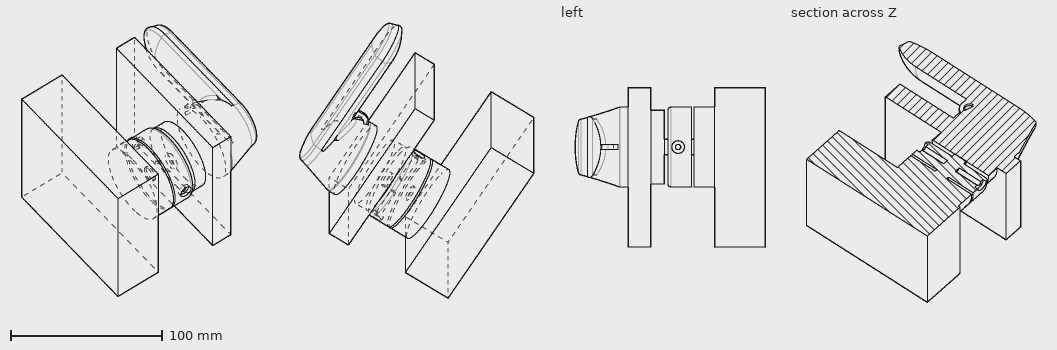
import cadquery as cq
import math


plate_width = 105.0
plate_height = 105.5
plate_top = 39.4
door_right = 32.1
base_right = 28.1

base_face = 33.7
collar_end = 47.4
coupler_start = 48.8
coupler_end = 64.6
nut_start = 66.9
door_start = 75.8
door_end = 91.0
skirt_end = 96.4
handle_top = 126.0

body_radius = 26.5
nut_radius = 24.5
spindle_radius = 5.2
coupler_round = 2.3
skirt_round = 1.9

screw_y = 57.8
screw_hole_radius = 1.8
screw_recess_radius = 4.2
screw_recess_depth = 2.5

grip_length = 74.7
grip_bottom = 109.0
belly_edge = (18.9, 114.5)
edge_bulge = (20.2, 116.2)
flank_bottom = (19.7, 117.7)
flank_top = (18.5, 121.9)
shoulder_mid = (18.2, 123.1)
crown_edge = (17.3, 123.8)
crown_mid = (8.9, 125.5)
blend_radius = 2.5
blend_half_width = 22.9
blend_clip = (31.8, 12.7, 36.8)

lug_x = -23.5
lug_y = 104.3
lug_radius = 7.1
lug_hole_radius = 4.0
lug_thickness = 3.3

edge_margin = 0.1
edge_search = body_radius + edge_margin


def disc(radius, start, end):
    """Cylinder on the spindle axis between two Y stations."""
    return cq.Workplane("XZ", origin=(0, start, 0)).circle(radius).extrude(start - end)


def plate(right, start, end):
    """Rectangular plate between two Y stations."""
    return cq.Workplane("XY").box(
        plate_width, end - start, plate_height, centered=False
    ).translate((right - plate_width, start, plate_top - plate_height))


def belly_height(offset):
    """Height of the circular belly of the grip at a distance from its centre line."""
    rise = belly_edge[1] - grip_bottom
    radius = (belly_edge[0] ** 2 + rise**2) / (2 * rise)
    return grip_bottom + radius - math.sqrt(radius**2 - offset**2)


def crown(outline):
    """Continue an outline from the bottom of the flank over the crown to the axis."""
    return (
        outline.lineTo(*flank_top)
        .threePointArc(shoulder_mid, crown_edge)
        .threePointArc(crown_mid, (0, handle_top))
    )


def grip_half_section(plane):
    """Closed half section of the grip, from its centre line to its flank."""
    outline = (
        cq.Workplane(plane)
        .moveTo(0, grip_bottom)
        .threePointArc((belly_edge[0] / 2, belly_height(belly_edge[0] / 2)), belly_edge)
        .threePointArc(edge_bulge, flank_bottom)
    )
    return crown(outline).close()


def turned(section):
    return section.revolve(360, (0, 0), (0, 1))


def make_grip():
    half_bar = grip_half_section("ZY").extrude(grip_length)
    rounded_end = turned(grip_half_section("XY")).translate((-grip_length, 0, 0))
    return half_bar.union(half_bar.mirror("XY")).union(rounded_end)


def make_hub():
    """Tapered hub with a short cylindrical skirt on the door."""
    outline = (
        cq.Workplane("XY")
        .moveTo(0, door_end)
        .lineTo(body_radius, door_end)
        .lineTo(body_radius, skirt_end)
        .lineTo(*flank_bottom)
    )
    hub = turned(crown(outline).close())
    skirt_edge = cq.selectors.BoxSelector(
        (-edge_search, skirt_end - edge_margin, -edge_search),
        (edge_search, skirt_end + edge_margin, edge_search),
        boundingbox=True,
    )
    return hub.edges(skirt_edge).fillet(skirt_round)


def make_blend(hub):
    """Rounded inside corner where the belly of the grip runs into the hub."""
    belly = (
        cq.Workplane("ZY")
        .moveTo(-blend_half_width, belly_height(blend_half_width))
        .threePointArc((0, grip_bottom), (blend_half_width, belly_height(blend_half_width)))
        .lineTo(blend_half_width, crown_edge[1])
        .lineTo(-blend_half_width, crown_edge[1])
        .close()
        .extrude(grip_length)
    )
    corner = cq.selectors.BoxSelector(
        (-body_radius, grip_bottom - edge_margin, -body_radius),
        (-edge_margin, flank_bottom[1], body_radius),
        boundingbox=False,
    )
    rounded = hub.union(belly).edges(corner).fillet(blend_radius)
    clip = cq.Workplane("XY", origin=(lug_x, grip_bottom, 0)).box(*blend_clip)
    return rounded.intersect(clip)


def make_lug():
    """Flat lug with a padlock hole, rounded at its lower end."""
    middle = cq.Workplane("XY", origin=(lug_x, lug_y, 0))
    rise = flank_bottom[1] - lug_y
    round_end = middle.circle(lug_radius).extrude(lug_thickness / 2, both=True)
    neck = middle.center(0, rise / 2).rect(2 * lug_radius, rise).extrude(lug_thickness / 2, both=True)
    hole = middle.circle(lug_hole_radius).extrude(lug_thickness, both=True)
    return round_end.union(neck).cut(hole)


def make_door_unit():
    """Door plate with its handle in front and its nut behind."""
    hub = make_hub()
    handle = make_grip().union(hub).union(make_blend(hub))
    return (
        handle.union(make_lug())
        .union(plate(door_right, door_start, door_end))
        .union(disc(nut_radius, nut_start, door_start))
    )


def make_coupler():
    """Ring with a rounded front edge and opposed recessed set screw holes."""
    coupler = disc(body_radius, coupler_start, coupler_end).faces(">Y").edges().fillet(coupler_round)
    across = cq.Workplane("YZ", origin=(-body_radius, screw_y, 0))
    coupler = coupler.cut(across.circle(screw_hole_radius).extrude(2 * body_radius))
    recess = across.circle(screw_recess_radius).extrude(screw_recess_depth)
    return coupler.cut(recess).cut(recess.mirror("YZ"))


def make_base_unit():
    """Base block with its collar, spindle and coupler; the spindle meets the nut."""
    return (
        plate(base_right, 0, base_face)
        .union(disc(body_radius, base_face, collar_end))
        .union(make_coupler())
        .union(disc(spindle_radius, collar_end, nut_start))
    )


door_unit = make_door_unit()
base_unit = make_base_unit()

result = cq.Compound.makeCompound([door_unit.solids().val(), base_unit.solids().val()])